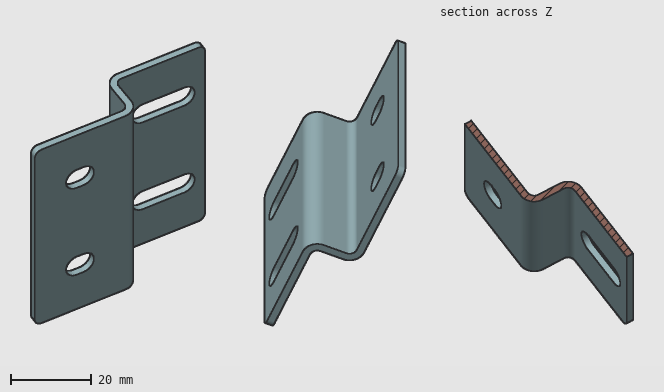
import cadquery as cq

thickness = 2.0
height = 60.0
offset_depth = 14.17
rear_flange = 28.0
front_flange = 30.0
inner_bend_radius = 2.0
outer_bend_radius = inner_bend_radius + thickness
corner_radius = 2.0

slot_width = 6.2
slot_spacing = 30.0
long_slot_length = 18.0
long_slot_edge_gap = 3.0
short_slot_length = 8.0
short_slot_edge_gap = 9.0

rear_end = rear_flange
front_end = thickness - front_flange


def bent_sheet():
    """Z-shaped sheet: a flange towards +Y, a web along X, a flange towards -Y."""
    profile = (
        cq.Workplane("XY")
        .moveTo(0, rear_end)
        .lineTo(0, outer_bend_radius)
        .radiusArc((outer_bend_radius, 0), -outer_bend_radius)
        .lineTo(offset_depth - outer_bend_radius, 0)
        .radiusArc((offset_depth - thickness, -inner_bend_radius), inner_bend_radius)
        .lineTo(offset_depth - thickness, front_end)
        .lineTo(offset_depth, front_end)
        .lineTo(offset_depth, -inner_bend_radius)
        .radiusArc((offset_depth - outer_bend_radius, thickness), -outer_bend_radius)
        .lineTo(outer_bend_radius, thickness)
        .radiusArc((thickness, outer_bend_radius), inner_bend_radius)
        .lineTo(thickness, rear_end)
        .close()
    )
    return profile.extrude(height / 2, both=True)


def round_flange_corners(sheet):
    """Round the two free corners of each flange."""
    return sheet.faces("<Y or >Y").edges("|X").fillet(corner_radius)


def slot_pair(center_y, length):
    """Two Y-direction slots, one above the other, cutting along the whole of X."""
    return (
        cq.Workplane("YZ")
        .center(center_y, 0)
        .rarray(1, slot_spacing, 1, 2)
        .slot2D(length, slot_width)
        .extrude(offset_depth)
    )


long_slot_y = rear_end - long_slot_edge_gap - long_slot_length / 2
short_slot_y = front_end + short_slot_edge_gap + short_slot_length / 2

bracket = round_flange_corners(bent_sheet())
bracket = bracket.cut(slot_pair(long_slot_y, long_slot_length))
bracket = bracket.cut(slot_pair(short_slot_y, short_slot_length))

result = bracket